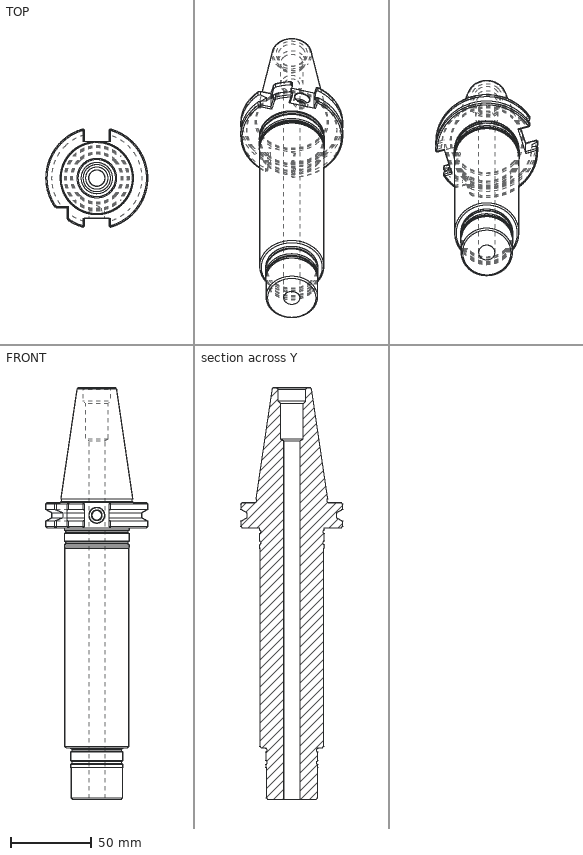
import cadquery as cq
import math

TOTAL_HEIGHT = 256.2
GAUGE_HEIGHT = 187
FLANGE_TOP = 184.8
FLANGE_THICKNESS = 16.0
FLANGE_BOTTOM = FLANGE_TOP - FLANGE_THICKNESS
BODY_BOTTOM = 32.0

TAPER_RATIO = 7 / 24
GAUGE_DIAMETER = 44.8
TAPER_TOP_DIAMETER = GAUGE_DIAMETER - TAPER_RATIO * (TOTAL_HEIGHT - GAUGE_HEIGHT)
TAPER_TOP_CHAMFER = 0.8
TAPER_COLLAR_DIAMETER = 44.0
TAPER_COLLAR_FOOT = 0.8

FLANGE_DIAMETER = 63.5
FLANGE_CHAMFER = 0.9
GRIP_CENTER = 176.8
GRIP_ROOT_DIAMETER = 56.0
GRIP_ROOT_WIDTH = 3.0
GRIP_MOUTH_WIDTH = 7.2

SLOT_WIDTH = 15.5
FRONT_SLOT_FLOOR = 25.0
BACK_SLOT_FLOOR = 22.8
NOTCH_EDGE = 18.5

BODY_DIAMETER = 40.0
BODY_BAND_DIAMETER = 40.5
BODY_BAND_BOTTOM = 157.0
BODY_BAND_TAPER = 0.8
BODY_GROOVE_CENTERS = (159.6, 166.5)
BODY_EDGE_CHAMFER = 1.0
NOSE_DIAMETER = 32.0
NOSE_BAND_DIAMETER = 32.5
NOSE_BAND_BOTTOM = 20.0
NOSE_GROOVE_CENTERS = (23, 30.8)
NOSE_CHAMFER = 1.0
GROOVE_MOUTH_WIDTH = 2.3
GROOVE_FLOOR_WIDTH = 1.0
GROOVE_DEPTH = 0.8

GROOVE_OVERCUT = 2.5

THROUGH_DIAMETER = 10.0
THREAD_DIAMETER = 13.8
THREAD_DEPTH = 32.0
MOUTH_DIAMETER = 17.0
MOUTH_DEPTH = 8.5
MOUTH_RIM_DIAMETER = 19.5
DRILL_TIP_ANGLE = math.radians(30)

SIDE_HOLE_DIAMETER = 10.0
SIDE_HOLE_EDGE = 0.3
SIDE_HOLE_DEPTH = 4.5
SIDE_PILOT_DIAMETER = 6.0
SIDE_PILOT_EDGE = 0.38
SIDE_PILOT_DEPTH = 6.5


def revolve_profile(points):
    """Turn (radius, height) points, closed along the axis, into a solid about Z."""
    return cq.Workplane("XZ").polyline(points).close().revolve(360, (0, 0, 0), (0, 1, 0))


def ring_groove(outer_diameter, center, mouth_width, floor_diameter, floor_width):
    """A ring with a trapezoid section that cuts a groove into a round outside."""
    outer = outer_diameter / 2
    beyond = outer + GROOVE_OVERCUT
    floor = floor_diameter / 2
    return revolve_profile([
        (floor, center - floor_width / 2),
        (outer, center - mouth_width / 2),
        (beyond, center - mouth_width / 2),
        (beyond, center + mouth_width / 2),
        (outer, center + mouth_width / 2),
        (floor, center + floor_width / 2),
    ])


def holder_stem():
    """Everything turned about Z except the flange."""
    nose = NOSE_DIAMETER / 2
    nose_band = NOSE_BAND_DIAMETER / 2
    body = BODY_DIAMETER / 2
    body_band = BODY_BAND_DIAMETER / 2
    collar = TAPER_COLLAR_DIAMETER / 2
    taper_top = TAPER_TOP_DIAMETER / 2
    return revolve_profile([
        (0, 0),
        (nose - NOSE_CHAMFER, 0),
        (nose, NOSE_CHAMFER),
        (nose, NOSE_BAND_BOTTOM),
        (nose_band, NOSE_BAND_BOTTOM),
        (nose_band, BODY_BOTTOM),
        (body - BODY_EDGE_CHAMFER, BODY_BOTTOM),
        (body, BODY_BOTTOM + BODY_EDGE_CHAMFER),
        (body, BODY_BAND_BOTTOM - BODY_BAND_TAPER),
        (body_band, BODY_BAND_BOTTOM),
        (body_band, FLANGE_TOP),
        (collar + TAPER_COLLAR_FOOT, FLANGE_TOP),
        (collar, FLANGE_TOP + TAPER_COLLAR_FOOT),
        (collar, GAUGE_HEIGHT),
        (GAUGE_DIAMETER / 2, GAUGE_HEIGHT),
        (taper_top, TOTAL_HEIGHT - TAPER_TOP_CHAMFER),
        (taper_top - TAPER_TOP_CHAMFER, TOTAL_HEIGHT),
        (0, TOTAL_HEIGHT),
    ])


def small_grooves(diameter, centers):
    grooves = cq.Workplane("XY")
    for center in centers:
        grooves = grooves.add(ring_groove(
            diameter, center, GROOVE_MOUTH_WIDTH, diameter - 2 * GROOVE_DEPTH, GROOVE_FLOOR_WIDTH
        ))
    return grooves.combine()


def flange_cutter(x_start, x_end, y_start, y_end):
    """A block as tall as the flange, between the given X and Y limits."""
    return cq.Workplane("XY").box(
        x_end - x_start, y_end - y_start, FLANGE_THICKNESS, centered=False
    ).translate((x_start, y_start, FLANGE_BOTTOM))


def flange():
    """The slotted and notched disc, with every outer edge broken except at the slot floors."""
    radius = FLANGE_DIAMETER / 2
    half_slot = SLOT_WIDTH / 2
    disc = cq.Workplane("XY").workplane(offset=FLANGE_BOTTOM).circle(radius).extrude(FLANGE_THICKNESS)
    disc = disc.cut(flange_cutter(-half_slot, half_slot, -radius, -FRONT_SLOT_FLOOR))
    disc = disc.cut(flange_cutter(-half_slot, half_slot, BACK_SLOT_FLOOR, radius))
    disc = disc.cut(flange_cutter(-radius, -NOTCH_EDGE, -radius, -NOTCH_EDGE))

    flat_face_edges = disc.faces("<Z or >Z").edges().filter(lambda edge: not is_slot_floor(edge))
    rim_corners = disc.edges("|Z").filter(is_on_rim)
    disc = disc.newObject(flat_face_edges.vals() + rim_corners.vals()).chamfer(FLANGE_CHAMFER)
    return disc.cut(ring_groove(
        FLANGE_DIAMETER, GRIP_CENTER, GRIP_MOUTH_WIDTH, GRIP_ROOT_DIAMETER, GRIP_ROOT_WIDTH
    ))


def is_slot_floor(edge):
    """True for a straight edge that runs along the floor of a drive slot."""
    return edge.geomType() == "LINE" and abs(edge.Center().x) < SLOT_WIDTH / 4


def is_on_rim(edge):
    """True for an upright edge that lies on the outside of the disc."""
    middle = edge.Center()
    return math.isclose(math.hypot(middle.x, middle.y), FLANGE_DIAMETER / 2, abs_tol=0.03)


def axial_bore():
    through = THROUGH_DIAMETER / 2
    thread = THREAD_DIAMETER / 2
    mouth = MOUTH_DIAMETER / 2
    rim = MOUTH_RIM_DIAMETER / 2
    mouth_floor = TOTAL_HEIGHT - MOUTH_DEPTH
    thread_floor = TOTAL_HEIGHT - THREAD_DEPTH
    return revolve_profile([
        (0, 0),
        (through, 0),
        (through, thread_floor - (thread - through) * math.tan(DRILL_TIP_ANGLE)),
        (thread, thread_floor),
        (thread, mouth_floor - (mouth - thread)),
        (mouth, mouth_floor),
        (mouth, TOTAL_HEIGHT - (rim - mouth)),
        (rim, TOTAL_HEIGHT),
        (0, TOTAL_HEIGHT),
    ])


def side_hole():
    pilot = SIDE_PILOT_DIAMETER / 2
    counterbore = SIDE_HOLE_DIAMETER / 2
    tip_depth = SIDE_PILOT_DEPTH + pilot * math.tan(DRILL_TIP_ANGLE)
    hole = revolve_profile([
        (0, 0),
        (counterbore, 0),
        (counterbore - SIDE_HOLE_EDGE, SIDE_HOLE_EDGE),
        (counterbore - SIDE_HOLE_EDGE, SIDE_HOLE_DEPTH),
        (pilot + SIDE_PILOT_EDGE, SIDE_HOLE_DEPTH),
        (pilot, SIDE_HOLE_DEPTH + SIDE_PILOT_EDGE),
        (pilot, SIDE_PILOT_DEPTH),
        (0, tip_depth),
    ])
    return hole.rotate((0, 0, 0), (1, 0, 0), -90).translate((0, -FRONT_SLOT_FLOOR, GRIP_CENTER))


result = (
    holder_stem()
    .union(flange())
    .cut(small_grooves(BODY_BAND_DIAMETER, BODY_GROOVE_CENTERS))
    .cut(small_grooves(NOSE_BAND_DIAMETER, NOSE_GROOVE_CENTERS))
    .cut(axial_bore())
    .cut(side_hole())
)